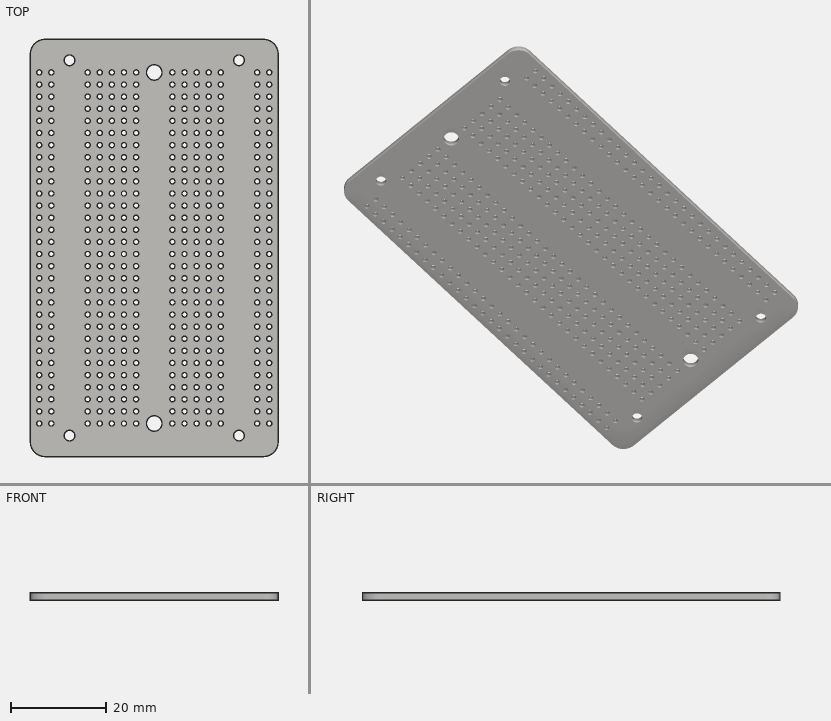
import cadquery as cq

board_width = 52.07
board_length = 87.63
board_thickness = 1.6
corner_radius = 3.175

pitch = 2.54
pin_hole_diameter = 1.04
row_count = 30
strip_column_count = 5
rail_column_count = 2
strip_inner_x = 1.5 * pitch
rail_inner_x = 8.5 * pitch
end_row_y = (row_count - 1) / 2 * pitch

centre_hole_diameter = 3.2
corner_hole_diameter = 2.2
corner_hole_x = 7 * pitch
corner_hole_y = end_row_y + pitch


def make_blank():
    """Flat board with rounded corners, resting on Z = 0 and centred in X and Y."""
    return (
        cq.Workplane("XY")
        .box(board_width, board_length, board_thickness, centered=(True, True, False))
        .edges("|Z")
        .fillet(corner_radius)
    )


def column_positions():
    """X of every pin column: a five-hole strip and a power rail on each side."""
    strip = [strip_inner_x + i * pitch for i in range(strip_column_count)]
    rail = [rail_inner_x + i * pitch for i in range(rail_column_count)]
    return [side * x for side in (-1, 1) for x in strip + rail]


def pin_positions():
    """Centres of all pin holes."""
    rows = [-end_row_y + i * pitch for i in range(row_count)]
    return [(x, y) for x in column_positions() for y in rows]


def drill(board, points, diameter):
    """Drill round through holes at the given points."""
    bits = (
        cq.Workplane("XY")
        .pushPoints(points)
        .circle(diameter / 2)
        .extrude(board_thickness)
    )
    return board.cut(bits)


centre_holes = [(0, side * end_row_y) for side in (-1, 1)]
corner_holes = [(sx * corner_hole_x, sy * corner_hole_y) for sx in (-1, 1) for sy in (-1, 1)]

result = make_blank()
result = drill(result, pin_positions(), pin_hole_diameter)
result = drill(result, centre_holes, centre_hole_diameter)
result = drill(result, corner_holes, corner_hole_diameter)